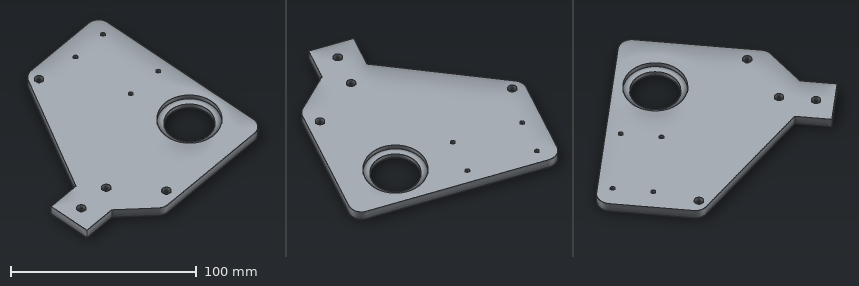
import cadquery as cq

plate_size = 120.0
thickness = 6.0
corner_radius = 7.5
tab_left = 74.0
tab_right = 100.1
tab_length = 20.0
left_corner_y = 62.2
right_corner_y = tab_length + plate_size - tab_right

bore_x = (tab_left + tab_right) / 2
bore_y = 97.0
bore_diameter = 27.5
recess_diameter = 35.0
recess_depth = 3.0

mount_diameter = 5.0
mount_points = [
    (bore_x, 10.0),
    (bore_x, 30.0),
    (112.5, 50.0),
    (corner_radius, 64.5),
]

small_diameter = 2.5
small_left = 11.3
small_bottom = 89.6
small_pitch_x = 40.0
small_pitch_y = 22.1
small_points = [
    (small_left + column * small_pitch_x, small_bottom + row * small_pitch_y)
    for column in range(2)
    for row in range(2)
]


def make_plate():
    """Plate with a square-cornered tab and four rounded body corners."""
    body_corners = [
        (plate_size, right_corner_y),
        (plate_size, plate_size),
        (0, plate_size),
        (0, left_corner_y),
    ]
    tab_corners = [
        (tab_left, tab_length),
        (tab_left, 0),
        (tab_right, 0),
        (tab_right, tab_length),
    ]
    plate = cq.Workplane("XY").polyline(tab_corners + body_corners).close().extrude(thickness)
    return plate.edges("|Z and (<X or >X)").fillet(corner_radius)


def through_holes(points, diameter):
    return cq.Workplane("XY").pushPoints(points).circle(diameter / 2).extrude(thickness)


def bearing_recess():
    floor = cq.Workplane("XY").workplane(offset=thickness - recess_depth)
    return floor.center(bore_x, bore_y).circle(recess_diameter / 2).extrude(recess_depth)


result = (
    make_plate()
    .cut(through_holes([(bore_x, bore_y)], bore_diameter))
    .cut(bearing_recess())
    .cut(through_holes(mount_points, mount_diameter))
    .cut(through_holes(small_points, small_diameter))
)